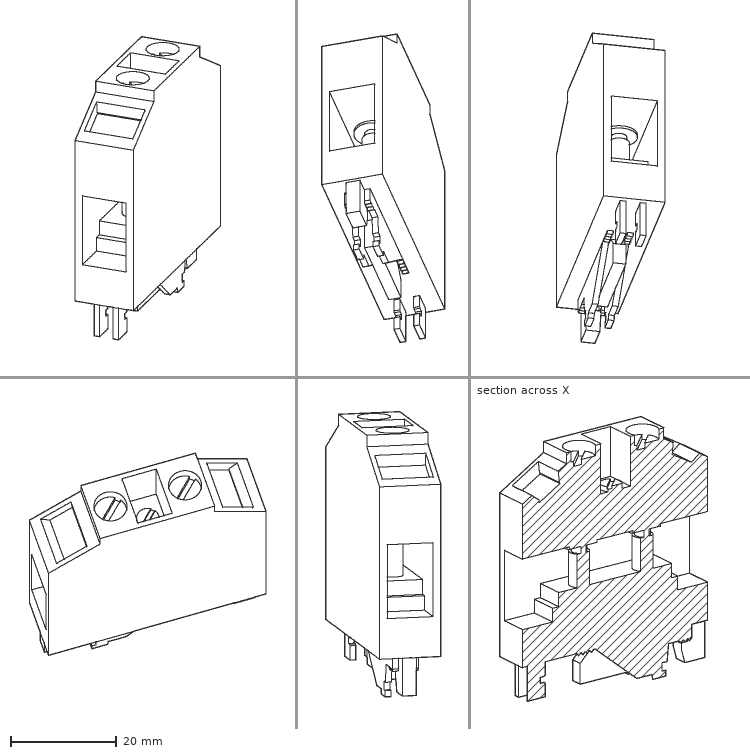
import cadquery as cq
import math


length = 43.5
thickness = 12.0
height = 41.5
side_wall = 1.0
inner_width = thickness - 2 * side_wall
top_half_length = 11.45
top_step = 2.25
shoulder_angle = math.radians(30)

pocket_undercut = 0.25
pocket_lower_wall_angle = math.radians(37)
front_upper_lip = 13.4
front_lower_lip = 19.5
front_lower_wall_end = 17.8
front_upper_wall_drop = 2.5
front_floor_drop = 2.85
back_upper_lip = 13.75
back_lower_lip = 19.8
back_lower_wall_end = 17.95

channel_width = 8.95
channel_bottom = 7.8
channel_top = 22.1
bar_lower_half_length = 14.7
bar_upper_half_length = 13.3
bar_lower_top = 10.6
bar_upper_top = 13.5

screw_offset = 7.45
screw_hole_diameter = 6.3
screw_hole_depth = 2.15
screw_slot_width = 1.2
screw_slot_depth = 1.0
slot_angle = -45
collar_diameter = 7.1
collar_bottom = 21.6
neck_diameter = 3.05
shank_diameter = 4.05
shank_top = 20.3
well_front = -3.3
well_back = 3.55
well_depth = 10.15
test_head_diameter = 4.3
test_head_height = 1.0
test_slot_width = 0.85
test_slot_depth = 0.5

foot_width = 5.05
plate_gap = 2.75
plate_thickness = (foot_width - plate_gap) / 2
slider_width = 2.45
tooth_pitch = 1.0
tooth_depth = 0.5
clip_teeth = 3
housing_teeth_start = -4.95
housing_teeth = 4
overall_height = 50.7
clip_back = 18.05
clip_ledge = -2.75
clip_ledge_end = 12.6
clip_shoulder = 12.25
clip_neck = 11.1
clip_neck_top = -6.3
clip_neck_bottom = -7.95
clip_hook_tip = 11.95
clip_hook_heel = 8.8
clip_base = -8.15
clip_base_back = 8.65
clip_base_front = 5.1
clip_front = -4.65
clip_bottom = height - overall_height
front_foot_outer = -20.65
front_foot_inner = -16.4
front_foot_bottom = -7.1
front_notch_top = -2.9
front_notch_bottom = -4.05
front_notch_depth = 1.15
front_notch_chamfer = 0.25
back_foot_outer = 21.1
back_foot_inner = 15.65
back_foot_bottom = -7.45
back_foot_toe = 16.45
back_foot_taper_top = -4.8
back_foot_ledge = -3.25
back_foot_stem = 17.2
back_foot_chamfer = 0.15
back_foot_corner = 0.25
slider_back = 8.65
slider_front = -8.05
slider_bottom = -6.45
slider_slope_bottom = -2.2
slider_slope_top = -5.85


def extrude_yz(points, width, center_x=0.0):
    """Prism of the given Y-Z outline, centred on center_x and width wide along X."""
    return cq.Workplane("YZ").workplane(offset=center_x - width / 2).polyline(points).close().extrude(width)


def box(width, y_range, z_range):
    """Box centred on X that spans the given Y and Z ranges."""
    (y0, y1), (z0, z1) = y_range, z_range
    return extrude_yz([(y0, z0), (y1, z0), (y1, z1), (y0, z1)], width)


def cylinder(diameter, y, z0, z1):
    """Upright cylinder on the mid-plane of the thickness."""
    return cq.Workplane("XY", origin=(0, y, z0)).circle(diameter / 2).extrude(z1 - z0)


def shoulder_z(distance):
    """Height of the sloping shoulder at a distance from the middle of the length."""
    return height - top_step - (distance - top_half_length) * math.tan(shoulder_angle)


def driver_slot(y, head_top, diameter, width, depth):
    """Diagonal screwdriver slot, trimmed to the round screw head."""
    bar = cq.Workplane("XY").box(diameter + width, width, depth, centered=(True, True, False))
    bar = bar.rotate((0, 0, 0), (0, 0, 1), slot_angle).translate((0, y, head_top - depth))
    return bar.intersect(cylinder(diameter, y, head_top - depth, head_top))


def make_housing():
    half = length / 2
    back_half = [
        (half, 0),
        (half, shoulder_z(half)),
        (top_half_length, height - top_step),
        (top_half_length, height),
    ]
    front_half = [(-y, z) for y, z in reversed(back_half)]
    return extrude_yz(back_half + front_half, thickness)


def below_shoulder(distance, drop):
    """Outline point at a vertical distance below the sloping shoulder."""
    return (distance, shoulder_z(distance) - drop)


def lower_wall_drop(lower_lip, wall_end):
    """Drop below the shoulder at the inner end of a pocket's lower wall."""
    return (lower_lip - wall_end) * (math.tan(shoulder_angle) + math.tan(pocket_lower_wall_angle))


def make_front_pocket():
    """Pocket with a recessed floor; a narrow face square to the floor joins it to the upper wall."""
    wall_foot = front_upper_lip - pocket_undercut
    recess = front_floor_drop - front_upper_wall_drop
    floor_start = wall_foot - recess * math.sin(shoulder_angle) * math.cos(shoulder_angle)
    outline = [
        below_shoulder(front_upper_lip, 0),
        below_shoulder(wall_foot, front_upper_wall_drop),
        below_shoulder(floor_start, front_floor_drop),
        below_shoulder(front_lower_wall_end, front_floor_drop),
        below_shoulder(front_lower_wall_end, lower_wall_drop(front_lower_lip, front_lower_wall_end)),
        below_shoulder(front_lower_lip, 0),
        (front_lower_lip, shoulder_z(front_upper_lip)),
    ]
    return extrude_yz([(-y, z) for y, z in outline], inner_width)


def make_back_pocket():
    """Pocket with a plain floor parallel to the shoulder."""
    floor_drop = lower_wall_drop(back_lower_lip, back_lower_wall_end)
    outline = [
        below_shoulder(back_upper_lip, 0),
        below_shoulder(back_upper_lip - pocket_undercut, floor_drop),
        below_shoulder(back_lower_wall_end, floor_drop),
        below_shoulder(back_lower_lip, 0),
        (back_lower_lip, shoulder_z(back_upper_lip)),
    ]
    return extrude_yz(outline, inner_width)


def make_channel():
    """Open channel along the length, less the stepped bar that crosses its floor."""
    channel = box(channel_width, (-length / 2, length / 2), (channel_bottom, channel_top))
    for half, top in ((bar_lower_half_length, bar_lower_top), (bar_upper_half_length, bar_upper_top)):
        channel = channel.cut(box(channel_width, (-half, half), (channel_bottom, top)))
    return channel


def make_terminal_screw(y):
    """Collar, neck and shank of a clamping screw that stands on the bar."""
    collar = cylinder(collar_diameter, y, collar_bottom, channel_top)
    neck = cylinder(neck_diameter, y, shank_top, collar_bottom)
    shank = cylinder(shank_diameter, y, bar_upper_top, shank_top)
    return collar.union(neck).union(shank)


def tooth_points(start, count, root_z):
    """Saw-tooth outline that runs toward -Y from start."""
    points = []
    for i in range(count):
        y = start - i * tooth_pitch
        points += [(y, root_z), (y - tooth_pitch / 2, root_z - tooth_depth)]
    return points + [(start - count * tooth_pitch, root_z)]


def make_plate_pair(outline):
    """The same plate on both sides of the gap in the foot."""
    offset = (plate_gap + plate_thickness) / 2
    return extrude_yz(outline, plate_thickness, -offset).union(extrude_yz(outline, plate_thickness, offset))


def make_clip():
    """Toothed ledge, hook that grips the rail, and a sloping underside up to the housing."""
    hook = [
        (clip_ledge_end, clip_ledge),
        (clip_shoulder, clip_neck_top),
        (clip_neck, clip_neck_top),
        (clip_neck, clip_neck_bottom),
        (clip_hook_tip, clip_neck_bottom),
        (clip_hook_tip, clip_bottom),
        (clip_hook_heel, clip_bottom),
        (clip_base_back, clip_base),
        (clip_base_front, clip_base),
        (clip_front, 0),
    ]
    outline = [(clip_back, 0)] + tooth_points(clip_back, clip_teeth, clip_ledge) + hook
    return make_plate_pair(outline)


def make_housing_teeth():
    return make_plate_pair(tooth_points(housing_teeth_start, housing_teeth, 0))


def make_front_foot():
    """Plates with a chamfered notch that faces the back foot."""
    notch_mouth = front_foot_inner - front_notch_chamfer
    notch_end = front_foot_inner - front_notch_depth
    outline = [
        (front_foot_outer, 0),
        (front_foot_outer, front_foot_bottom),
        (front_foot_inner, front_foot_bottom),
        (front_foot_inner, front_notch_bottom - front_notch_chamfer),
        (notch_mouth, front_notch_bottom),
        (notch_end, front_notch_bottom),
        (notch_end, front_notch_top),
        (notch_mouth, front_notch_top),
        (front_foot_inner, front_notch_top + front_notch_chamfer),
        (front_foot_inner, 0),
    ]
    return make_plate_pair(outline)


def make_back_foot():
    """Single foot between the clip plates, with a tapered toe below a ledge."""
    outline = [
        (back_foot_outer, 0),
        (back_foot_outer, back_foot_bottom),
        (back_foot_toe, back_foot_bottom),
        (back_foot_inner, back_foot_taper_top),
        (back_foot_inner, back_foot_ledge - back_foot_chamfer),
        (back_foot_inner + back_foot_chamfer, back_foot_ledge),
        (back_foot_stem - back_foot_corner, back_foot_ledge),
        (back_foot_stem, back_foot_ledge + back_foot_corner),
        (back_foot_stem, 0),
    ]
    return extrude_yz(outline, plate_gap)


def make_slider():
    """Block between the clip plates with a sloping upper front corner."""
    outline = [
        (slider_back, 0),
        (slider_back, slider_bottom),
        (slider_front, slider_bottom),
        (slider_front, slider_slope_bottom),
        (slider_slope_top, 0),
    ]
    return extrude_yz(outline, slider_width)


body = make_housing()
body = body.cut(make_front_pocket())
body = body.cut(make_back_pocket())
body = body.cut(make_channel())

head_top = height - screw_hole_depth
for screw_y in (-screw_offset, screw_offset):
    body = body.cut(cylinder(screw_hole_diameter, screw_y, head_top, height))
    body = body.cut(driver_slot(screw_y, head_top, screw_hole_diameter, screw_slot_width, screw_slot_depth))
    body = body.union(make_terminal_screw(screw_y))

well_bottom = height - well_depth
test_head_top = well_bottom + test_head_height
body = body.cut(box(inner_width, (well_front, well_back), (well_bottom, height)))
body = body.union(cylinder(test_head_diameter, 0, well_bottom, test_head_top))
body = body.cut(driver_slot(0, test_head_top, test_head_diameter, test_slot_width, test_slot_depth))

for foot_piece in (make_clip(), make_housing_teeth(), make_front_foot(), make_back_foot(), make_slider()):
    body = body.union(foot_piece)

result = body